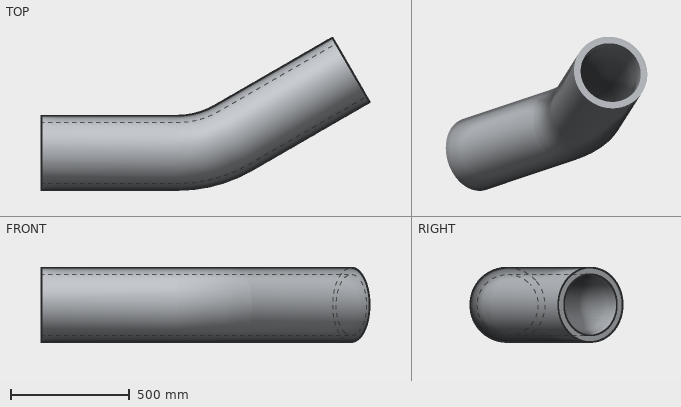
import cadquery as cq
import math

overall_length = 1385.0
outer_diameter = 315.0
bore_diameter = 258.0
bend_angle = 30.0
bend_radius = 1.5 * outer_diameter

sin_bend = math.sin(math.radians(bend_angle))
cos_bend = math.cos(math.radians(bend_angle))
bend_and_end_length = (bend_radius + outer_diameter / 2) * sin_bend
leg_length = (overall_length - bend_and_end_length) / (1 + cos_bend)

bend_start = (leg_length, 0)
half_angle = math.radians(bend_angle / 2)
bend_middle = (
    leg_length + bend_radius * math.sin(half_angle),
    bend_radius * (1 - math.cos(half_angle)),
)
bend_end = (leg_length + bend_radius * sin_bend, bend_radius * (1 - cos_bend))
pipe_end = (bend_end[0] + leg_length * cos_bend, bend_end[1] + leg_length * sin_bend)

centreline = (
    cq.Workplane("XY")
    .lineTo(*bend_start)
    .threePointArc(bend_middle, bend_end)
    .lineTo(*pipe_end)
)

wall_section = cq.Workplane("YZ").circle(outer_diameter / 2).circle(bore_diameter / 2)
result = wall_section.sweep(centreline)